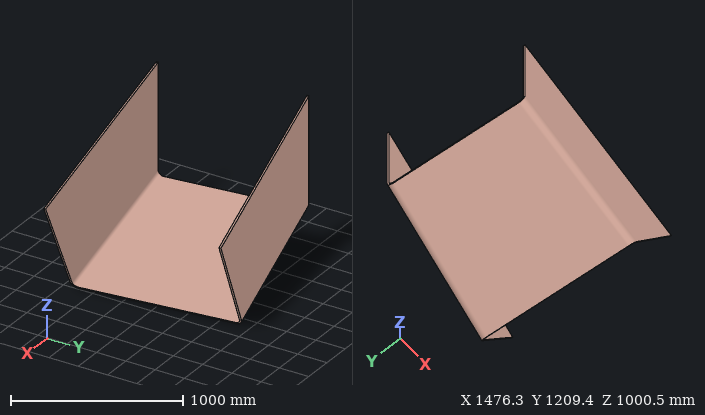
import cadquery as cq
import math

HEADING = 20 / 3
SLOPE = 40 / 3
FLARE = 10 / 3
OUTLET_RAKE = 2 * SLOPE
THICKNESS = 13.4
INNER_BEND_RADIUS = 34.5
INLET_WIDTH = 978.96
TOP_LENGTH = 1362.62
TOTAL_HEIGHT = 1000.51

OVERRUN = 200.0

slope = math.radians(SLOPE)
fall_rate = math.tan(slope)
flare_rate = math.tan(math.radians(FLARE))
outlet_height = TOTAL_HEIGHT - TOP_LENGTH * fall_rate
floor_length = TOP_LENGTH - outlet_height * math.tan(math.radians(OUTLET_RAKE))
inlet_height = TOTAL_HEIGHT - floor_length * fall_rate
floor_upright = THICKNESS / math.cos(slope)
wall_across = THICKNESS / math.cos(math.radians(FLARE))
underside_normal = cq.Vector(-math.sin(slope), 0, -math.cos(slope))


def sloped(distance, inlet_level):
    """Point of the side outline on a line that falls with the floor."""
    return (distance, inlet_level - distance * fall_rate)


def side_prism(outline):
    """Prism of a side outline, wider than the chute and symmetric about its axis."""
    return cq.Workplane("XZ").polyline(outline).close().extrude(INLET_WIDTH, both=True)


def flared_block(start, end, inlet_half_width):
    """Tall upright block whose plan widens at the flare angle."""
    start_half = inlet_half_width + start * flare_rate
    end_half = inlet_half_width + end * flare_rate
    plan = [(start, -start_half), (end, -end_half), (end, end_half), (start, start_half)]
    return cq.Workplane("XY").polyline(plan).close().extrude(2 * TOTAL_HEIGHT, both=True)


def channel_body(start, end, inlet_half_width, underside, top, bend_radius):
    """Flared solid with a sloping underside whose two long edges are rounded.

    underside and top are the levels of those two faces at the inlet.
    """
    outline = [sloped(start, top), sloped(end, top), sloped(end, underside), sloped(start, underside)]
    body = side_prism(outline).intersect(flared_block(start, end, inlet_half_width))
    lower_face = body.faces(cq.selectors.DirectionMinMaxSelector(underside_normal))
    return lower_face.edges("not |Y").fillet(bend_radius)


def outlet_waste():
    """Wedge beyond the raked outlet, which leans forward from the floor end to the wall tops."""
    top_corner = sloped(TOP_LENGTH, inlet_height)
    floor_corner = sloped(floor_length, 0)
    beyond = TOP_LENGTH + OVERRUN
    below = floor_corner[1] - OVERRUN
    return side_prism(
        [top_corner, floor_corner, (floor_length, below), (beyond, below), (beyond, top_corner[1])]
    )


half_width = INLET_WIDTH / 2
outer = channel_body(
    start=0,
    end=TOP_LENGTH,
    inlet_half_width=half_width,
    underside=0,
    top=inlet_height,
    bend_radius=INNER_BEND_RADIUS + THICKNESS,
)
hollow = channel_body(
    start=-OVERRUN,
    end=TOP_LENGTH + OVERRUN,
    inlet_half_width=half_width - wall_across,
    underside=floor_upright,
    top=inlet_height + OVERRUN,
    bend_radius=INNER_BEND_RADIUS,
)
chute = outer.cut(hollow).cut(outlet_waste())
result = chute.rotate((0, 0, 0), (0, 0, 1), HEADING)